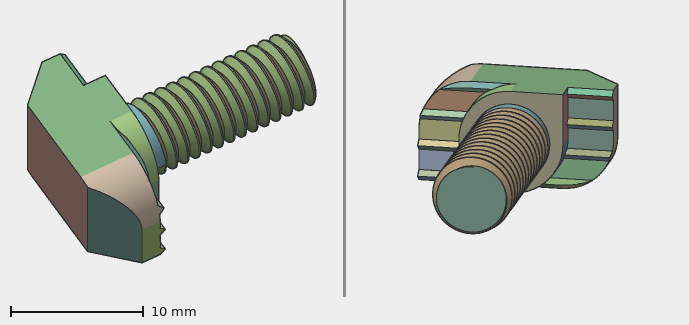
import cadquery as cq

total_length = 21.0
head_width = 15.0
head_height = 8.0
head_length = 6.5
arm_thickness = 4.6
corner_radius = head_height / 2
front_chamfer = 3.0

tooth_count = 4
tooth_height = 0.45
tooth_half_width = 0.4
tooth_spacing = (head_height - 2 * tooth_half_width) / (tooth_count - 1)

shank_diameter = 6.0
shank_radius = shank_diameter / 2
tip_chamfer = 0.27
thread_pitch = shank_diameter / 6
thread_depth = 0.6
thread_start = 0.65
groove_mouth_width = thread_pitch * 7 / 8
cutter_overlap = 0.06


def twist_block(width, length):
    """Block along Y with two opposite edges rounded so that it can turn in the slot."""
    half_width = width / 2
    half_height = head_height / 2
    profile = (
        cq.Workplane("XZ")
        .moveTo(-half_width, half_height)
        .lineTo(half_width - corner_radius, half_height)
        .radiusArc((half_width, half_height - corner_radius), corner_radius)
        .lineTo(half_width, -half_height)
        .lineTo(corner_radius - half_width, -half_height)
        .radiusArc((-half_width, corner_radius - half_height), corner_radius)
        .close()
    )
    return profile.extrude(-length)


def arm_outline():
    """Solid bounding the arms: chamfered toward the front, with a flat bearing face."""
    half_width = head_width / 2
    return (
        cq.Workplane("XY", origin=(0, 0, -head_height / 2))
        .polyline([
            (front_chamfer - half_width, 0),
            (half_width - front_chamfer, 0),
            (half_width, front_chamfer),
            (half_width, arm_thickness),
            (-half_width, arm_thickness),
            (-half_width, front_chamfer),
        ])
        .close()
        .extrude(head_height)
    )


def bearing_tooth(center_z):
    """Triangular ridge running along X on the bearing face of the arms."""
    return (
        cq.Workplane("YZ", origin=(-head_width / 2, 0, 0))
        .polyline([
            (arm_thickness, center_z - tooth_half_width),
            (arm_thickness + tooth_height, center_z),
            (arm_thickness, center_z + tooth_half_width),
        ])
        .close()
        .extrude(head_width)
    )


def rounded_end_tooth():
    """Outermost upper tooth, whose outer flank follows the rounded end of the arm as a cone."""
    corner_x = head_width / 2 - corner_radius
    straight_part = (
        cq.Workplane("XY")
        .box(head_width, tooth_height, head_height, centered=(False, False, True))
        .translate((corner_x - head_width, arm_thickness, 0))
    )
    rounded_part = cq.Workplane(cq.Solid.makeCone(
        corner_radius,
        corner_radius - tooth_half_width,
        tooth_height,
        cq.Vector(corner_x, arm_thickness, 0),
        cq.Vector(0, 1, 0),
    ))
    tooth = bearing_tooth(head_height / 2 - tooth_half_width)
    return tooth.intersect(straight_part.union(rounded_part))


def make_head():
    arms = arm_outline()
    for index in range(1, tooth_count - 1):
        center_z = (index - (tooth_count - 1) / 2) * tooth_spacing
        arms = arms.union(bearing_tooth(center_z))
    upper_tooth = rounded_end_tooth()
    lower_tooth = upper_tooth.rotate((0, 0, 0), (0, 1, 0), 180)
    arms = arms.union(upper_tooth).union(lower_tooth)
    arms = arms.intersect(twist_block(head_width, head_length))
    neck = twist_block(head_height, head_length)
    return arms.union(neck)


def make_thread_groove(shank_length):
    """Right-hand helical cutter about Z that runs out past the end of the shank."""
    turns = (shank_length - thread_start) // thread_pitch + 2
    helix = cq.Wire.makeHelix(thread_pitch, turns * thread_pitch, shank_radius)
    root_radius = shank_radius - thread_depth
    outer_radius = shank_radius + cutter_overlap
    outer_half = groove_mouth_width / 2 * (outer_radius - root_radius) / thread_depth
    return (
        cq.Workplane("XZ")
        .polyline([
            (root_radius, 0),
            (outer_radius, -outer_half),
            (outer_radius, outer_half),
        ])
        .close()
        .sweep(cq.Workplane(helix), isFrenet=True)
        .translate((0, 0, thread_start))
    )


def make_shank():
    shank_length = total_length - head_length
    blank = cq.Workplane("XY").circle(shank_radius).extrude(shank_length)
    blank = blank.rotate((0, 0, 0), (0, 0, 1), 180)
    threaded = blank.cut(make_thread_groove(shank_length))
    tip_radius = shank_radius - tip_chamfer
    tip_cone = cq.Workplane(cq.Solid.makeCone(tip_radius + shank_length, tip_radius, shank_length))
    threaded = threaded.intersect(tip_cone)
    along_y = threaded.rotate((0, 0, 0), (1, 0, 0), -90)
    return along_y.translate((0, head_length, 0))


result = make_head().union(make_shank())